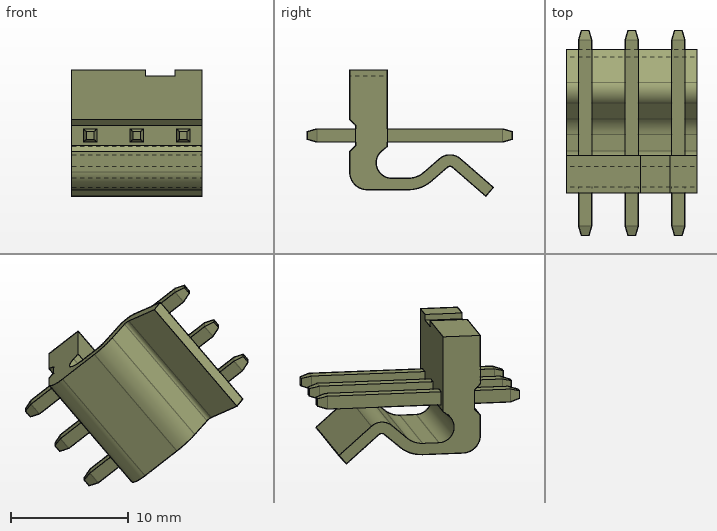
import cadquery as cq
import math


width = 11.12
body_depth = 3.21
body_top = 10.2
body_back_bottom = 3.68
key_left = 0.75
key_width = 2.5
key_depth = 0.5

pin_count = 3
pin_pitch = 3.96
pin_length = 17.45
pin_front = -3.61
pin_side = 1.13
pin_tip_side = 0.66
pin_tip_length = 0.82
pin_height = 4.62

groove_depth = 0.5
groove_floor = 1.71
groove_mouth = groove_floor + 2 * groove_depth

latch_thickness = 1.0
latch_angle = math.radians(41)
heel_radius = 1.5
throat_radius = 1.31
throat_y = 3.58
valley_y = 4.99
valley_radius = 2.0
crest_y = 8.53
crest_radius = 1.35
latch_end_y = 12.23


def on_circle(center, radius, angle):
    """Point on a circle in the YZ plane, with the angle measured from +Y."""
    return (center[0] + radius * math.cos(angle), center[1] + radius * math.sin(angle))


def make_housing():
    """Body and latch as one profile swept across the full width."""
    up = math.pi / 2
    ramp = latch_angle
    sin_ramp, cos_ramp, tan_ramp = math.sin(ramp), math.cos(ramp), math.tan(ramp)

    heel = (heel_radius, heel_radius)
    throat = (throat_y, latch_thickness + throat_radius)
    valley = (valley_y, latch_thickness + valley_radius)

    ramp_start = on_circle(valley, valley_radius, ramp - up)
    ramp_end_y = crest_y - crest_radius * sin_ramp
    ramp_end = (ramp_end_y, ramp_start[1] + (ramp_end_y - ramp_start[0]) * tan_ramp)
    crest = (crest_y, ramp_end[1] - crest_radius * cos_ramp)

    tail_start = on_circle(crest, crest_radius, up - ramp)
    tail_end = (latch_end_y, tail_start[1] - (latch_end_y - tail_start[0]) * tan_ramp)
    tail_end_under = (tail_end[0] - latch_thickness * sin_ramp, tail_end[1] - latch_thickness * cos_ramp)

    valley_under = valley_radius + latch_thickness
    crest_under = crest_radius - latch_thickness
    groove_bottom = pin_height - groove_mouth / 2
    groove_top = pin_height + groove_mouth / 2

    profile = (
        cq.Workplane("YZ", origin=(-width / 2, 0, 0))
        .moveTo(0, heel_radius)
        .lineTo(0, groove_bottom)
        .lineTo(groove_depth, groove_bottom + groove_depth)
        .lineTo(groove_depth, groove_top - groove_depth)
        .lineTo(0, groove_top)
        .lineTo(0, body_top)
        .lineTo(body_depth, body_top)
        .lineTo(body_depth, body_back_bottom)
        .lineTo(*on_circle(throat, throat_radius, up + ramp))
        .threePointArc(on_circle(throat, throat_radius, math.pi), (throat_y, latch_thickness))
        .lineTo(valley_y, latch_thickness)
        .threePointArc(on_circle(valley, valley_radius, ramp / 2 - up), ramp_start)
        .lineTo(*ramp_end)
        .threePointArc(on_circle(crest, crest_radius, up), tail_start)
        .lineTo(*tail_end)
        .lineTo(*tail_end_under)
        .lineTo(*on_circle(crest, crest_under, up - ramp))
        .threePointArc(on_circle(crest, crest_under, up), on_circle(crest, crest_under, up + ramp))
        .lineTo(*on_circle(valley, valley_under, ramp - up))
        .threePointArc(on_circle(valley, valley_under, ramp / 2 - up), (valley_y, 0))
        .lineTo(heel_radius, 0)
        .threePointArc(on_circle(heel, heel_radius, 1.25 * math.pi), (0, heel_radius))
        .close()
    )
    return profile.extrude(width)


def make_key_notch():
    """Polarising notch through the top edge of the body."""
    return cq.Workplane("XY").box(key_width, body_depth, key_depth, centered=False).translate(
        (key_left, 0, body_top - key_depth)
    )


def make_pin(x):
    """Square pin along Y with a tapered tip at each end."""
    shaft_length = pin_length - 2 * pin_tip_length
    shaft = (
        cq.Workplane("XZ", origin=(x, pin_front + pin_tip_length, pin_height))
        .rect(pin_side, pin_side)
        .extrude(-shaft_length)
    )
    front_tip = (
        shaft.faces("<Y").workplane(centerOption="CenterOfMass")
        .rect(pin_side, pin_side)
        .workplane(offset=pin_tip_length)
        .rect(pin_tip_side, pin_tip_side)
        .loft(combine=False)
    )
    middle = (x, pin_front + pin_length / 2, pin_height)
    back_tip = front_tip.mirror("XZ", middle)
    return shaft.union(front_tip).union(back_tip)


result = make_housing().cut(make_key_notch())
for index in range(pin_count):
    pin_x = (index - (pin_count - 1) / 2) * pin_pitch
    result = result.union(make_pin(pin_x))